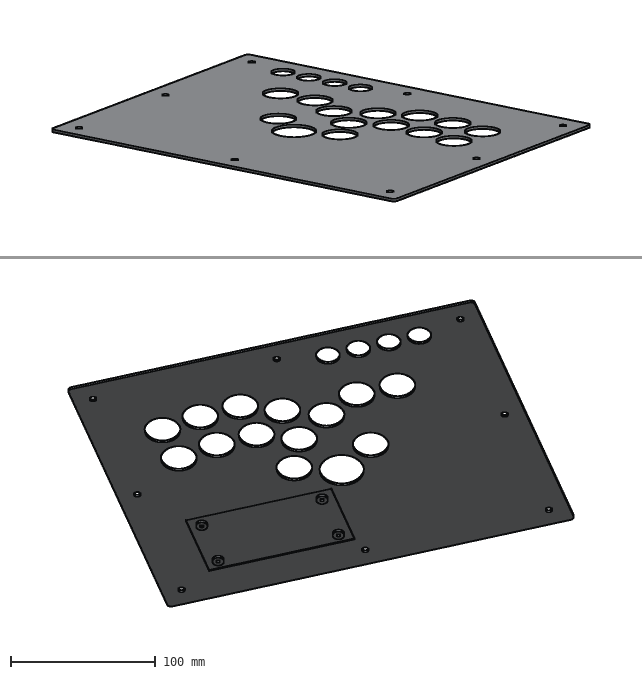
import cadquery as cq

PLATE_LENGTH = 294.3
PLATE_WIDTH = 230.0
PLATE_THICKNESS = 2.0
CORNER_RADIUS = 3
OVERALL_HEIGHT = 3
STANDOFF_PROJECTION = OVERALL_HEIGHT - PLATE_THICKNESS

SCREW_DIAMETER = 4.7
SCREW_EDGE_DISTANCE = 14.0
SCREW_X = PLATE_LENGTH / 2 - SCREW_EDGE_DISTANCE
SCREW_Y = PLATE_WIDTH / 2 - SCREW_EDGE_DISTANCE

MENU_DIAMETER = 16.5
MENU_COUNT = 4
MENU_PITCH = 22.0
MENU_FIRST_X = -101.0
MENU_Y = 93.5

BUTTON_DIAMETER = 24.7
DIRECTION_BUTTONS = [(-71.2, 50), (-41.8, 50), (-15.5, 36.5)]
UPPER_ACTION_BUTTONS = [(12.0, 50), (38.5, 62.7), (68.0, 61.2), (96.8, 56.5)]
LOWER_ACTION_BUTTONS = [(9.7, 19.0), (36.5, 32.0), (65.5, 31.0), (94.8, 26.0)]
THUMB_SIDE_BUTTONS = [(-35.5, -1.2), (21.8, -7.7)]

THUMB_DIAMETER = 30.5
THUMB_CENTRE = (-8.8, -19.5)

POCKET_CENTRE = (56.5, -61.8)
POCKET_LENGTH = 105.5
POCKET_WIDTH = 53.5
POCKET_SKIN = 1.0
POCKET_DEPTH = PLATE_THICKNESS - POCKET_SKIN
STANDOFF_DIAMETER = 8.0
STANDOFF_BORE = 2.53
STANDOFF_PITCH_X = 87.0
STANDOFF_PITCH_Y = 37.5


def upright_cylinders(centres, diameter, bottom, height):
    """Equal vertical cylinders standing on the level Z = bottom."""
    plane = cq.Workplane("XY").workplane(offset=bottom)
    return plane.pushPoints(centres).circle(diameter / 2).extrude(height)


def cut_through(plate, centres, diameter):
    """Cut equal round holes through the whole plate."""
    return plate.cut(upright_cylinders(centres, diameter, 0, PLATE_THICKNESS))


plate = (
    cq.Workplane("XY")
    .rect(PLATE_LENGTH, PLATE_WIDTH)
    .extrude(PLATE_THICKNESS)
    .edges("|Z")
    .fillet(CORNER_RADIUS)
)

screw_centres = [
    (column * SCREW_X, row * SCREW_Y)
    for column in (-1, 0, 1)
    for row in (-1, 0, 1)
    if (column, row) != (0, 0)
]
plate = cut_through(plate, screw_centres, SCREW_DIAMETER)

menu_centres = [(MENU_FIRST_X + i * MENU_PITCH, MENU_Y) for i in range(MENU_COUNT)]
plate = cut_through(plate, menu_centres, MENU_DIAMETER)

action_buttons = UPPER_ACTION_BUTTONS + LOWER_ACTION_BUTTONS
button_centres = DIRECTION_BUTTONS + action_buttons + THUMB_SIDE_BUTTONS
plate = cut_through(plate, button_centres, BUTTON_DIAMETER)
plate = cut_through(plate, [THUMB_CENTRE], THUMB_DIAMETER)

pocket = (
    cq.Workplane("XY")
    .center(*POCKET_CENTRE)
    .rect(POCKET_LENGTH, POCKET_WIDTH)
    .extrude(POCKET_DEPTH)
)
plate = plate.cut(pocket)

standoff_centres = [
    (POCKET_CENTRE[0] + i * STANDOFF_PITCH_X / 2, POCKET_CENTRE[1] + j * STANDOFF_PITCH_Y / 2)
    for i in (-1, 1)
    for j in (-1, 1)
]
standoff_height = POCKET_DEPTH + STANDOFF_PROJECTION
standoffs = upright_cylinders(
    standoff_centres, STANDOFF_DIAMETER, -STANDOFF_PROJECTION, standoff_height
)
bores = upright_cylinders(standoff_centres, STANDOFF_BORE, -STANDOFF_PROJECTION, standoff_height)

result = plate.union(standoffs).cut(bores)